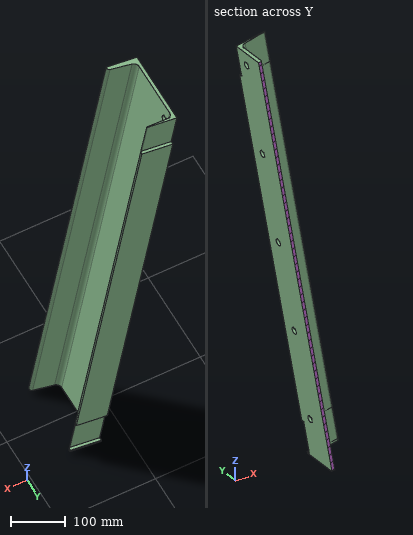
import cadquery as cq
import math

LENGTH = 924.0
WIDTH = 160.0
DEPTH = 65.0
WEB = 7.0
FLANGE = 10.0
FLANGE_SLOPE = 0.08
ROOT_RADIUS = 10.0
TIP_RADIUS = 5.0
TILT = 10.0

HOLE_DIAMETER = 14.0
HOLE_COUNT = 5
HOLE_PITCH = 200.0
FIRST_HOLE = 94.0
HOLE_Y = 127.0

RECESS_DEPTH = 6.0
TOP_RECESS = 68.0
BOTTOM_RECESS_END = 75.0
BOTTOM_LIP = 4.0


def channel():
    """Extruded channel with tapered flanges and rounded inner corners."""
    taper = FLANGE_SLOPE * DEPTH / 2
    root = FLANGE + taper - FLANGE_SLOPE * WEB
    tip = FLANGE - taper
    outline = [
        (0, 0),
        (DEPTH, 0),
        (DEPTH, tip),
        (WEB, root),
        (WEB, WIDTH - root),
        (DEPTH, WIDTH - tip),
        (DEPTH, WIDTH),
        (0, WIDTH),
    ]
    body = cq.Workplane("XY").polyline(outline).close().extrude(LENGTH)
    for y in (root, WIDTH - root):
        root_edge = cq.selectors.NearestToPointSelector((WEB, y, LENGTH / 2))
        body = body.edges(root_edge).fillet(ROOT_RADIUS)
    for y in (tip, WIDTH - tip):
        tip_edge = cq.selectors.NearestToPointSelector((DEPTH, y, LENGTH / 2))
        body = body.edges(tip_edge).fillet(TIP_RADIUS)
    return body


def web_holes():
    """Cutters for the evenly spaced holes along the web."""
    centres = [(HOLE_Y, FIRST_HOLE + i * HOLE_PITCH) for i in range(HOLE_COUNT)]
    return cq.Workplane("YZ").pushPoints(centres).circle(HOLE_DIAMETER / 2).extrude(WEB)


def flange_recess(z_low, z_high):
    """Cutter for a recess across the whole outer face of the +Y flange."""
    recess = cq.Workplane("XY").box(DEPTH, RECESS_DEPTH, z_high - z_low, centered=False)
    return recess.translate((0, WIDTH - RECESS_DEPTH, z_low))


upright = (
    channel()
    .cut(web_holes())
    .cut(flange_recess(LENGTH - TOP_RECESS, LENGTH))
    .cut(flange_recess(BOTTOM_LIP, BOTTOM_RECESS_END))
)
result = upright.rotate((0, 0, 0), (0, 1, 0), -TILT)